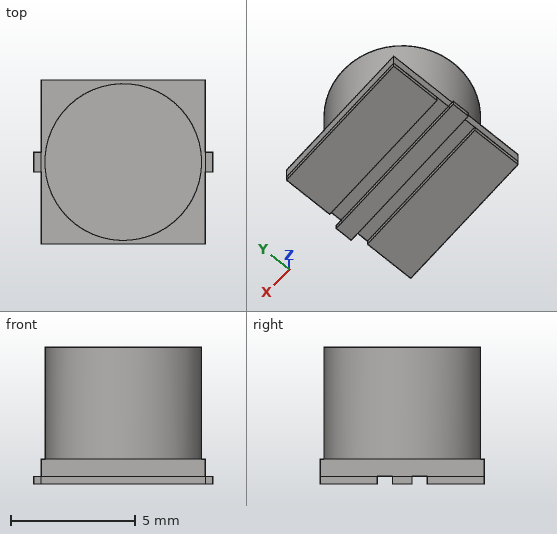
import cadquery as cq

overall_length = 7.2
overall_height = 5.5
base_side = 6.6
can_diameter = 6.3
plate_thickness = 0.7
foot_height = 0.3
channel_width = 2.0
lead_width = 0.8

can_height = overall_height - plate_thickness - foot_height
foot_width = (base_side - channel_width) / 2
foot_offset = (channel_width + foot_width) / 2


def bottom_bar(length, width, y_center):
    """Bar along X standing on the bottom plane, as tall as the feet."""
    bar = cq.Workplane("XY").box(length, width, foot_height, centered=(True, True, False))
    return bar.translate((0, y_center, 0))


def make_housing():
    """Square base plate carrying the round can, as one solid."""
    plate = (
        cq.Workplane("XY")
        .workplane(offset=foot_height)
        .rect(base_side, base_side)
        .extrude(plate_thickness)
    )
    can = (
        cq.Workplane("XY")
        .workplane(offset=foot_height + plate_thickness)
        .circle(can_diameter / 2)
        .extrude(can_height)
    )
    return plate.union(can)


def make_foot(side):
    """Foot flush with the plate edge on the given Y side (-1 or 1)."""
    return bottom_bar(base_side, foot_width, side * foot_offset)


def make_lead_strip():
    """Lead running through the middle of the channel and out at both ends."""
    return bottom_bar(overall_length, lead_width, 0)


housing = make_housing()
feet = [make_foot(side) for side in (-1, 1)]
lead_strip = make_lead_strip()

result = cq.Compound.makeCompound([
    housing.val(),
    *[foot.val() for foot in feet],
    lead_strip.val(),
])